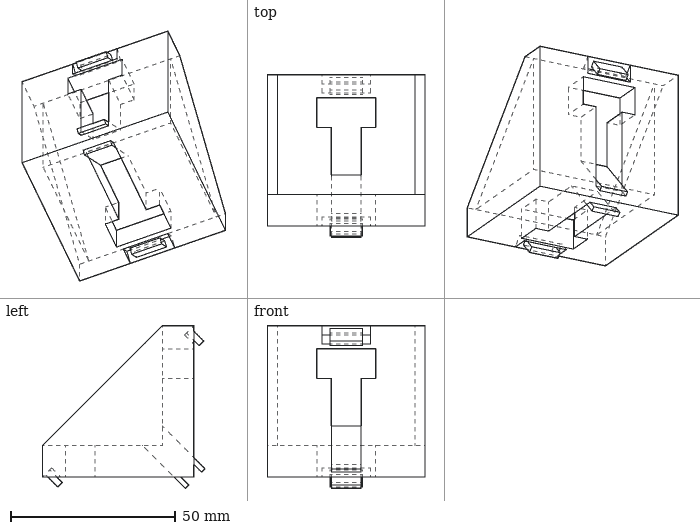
import cadquery as cq
import math

width = 48.0
side = 46.1
plate = 9.6
gusset = 3.0
tongue_reach = 3.4

stem_width = 9.0
head_width = 17.9
head_start = 30.05
head_end = 39.05
ramp_start = 6.0
ramp_thickness = 1.5

notch_width = 14.6
notch_depth = 2.8
clip_width = 9.85
clip_start = 44.45
clip_reach = 3.0
clip_thickness = 2.0


def prism(points, length):
    """Extrude a Y-Z outline symmetrically about the X centre."""
    return cq.Workplane("YZ").polyline(points).close().extrude(length / 2, both=True)


def tongue(start, reach, inner_depth, thickness, length):
    """Slanted 45 degree tongue; depth is along Y and start is its height at Y = 0."""
    step = thickness / math.sqrt(2)
    return prism(
        [
            (inner_depth, start + inner_depth),
            (-reach, start - reach),
            (-reach + step, start - reach - step),
            (inner_depth + step, start + inner_depth - step),
        ],
        length,
    )


def opening():
    """T-shaped opening of the upright plate, its stem ending on a 45 degree ramp."""
    stem = prism(
        [
            (0, ramp_start),
            (plate, ramp_start + plate),
            (plate, head_end),
            (0, head_end),
        ],
        stem_width,
    )
    head = prism([(0, head_start), (plate, head_start), (plate, head_end), (0, head_end)], head_width)
    return stem.union(head)


def notch():
    """V-shaped notch running from the free end of the upright plate."""
    return prism([(0, side), (notch_depth, side - notch_depth), (0, side - 2 * notch_depth)], notch_width)


def on_both_plates(feature):
    """Add the copy for the flat plate, mirrored about the plane Y = Z."""
    flat_copy = feature.rotate((0, 0, 0), (1, 0, 0), 90).mirror("XZ")
    return feature.union(flat_copy)


body = prism([(0, 0), (side, 0), (side, plate), (plate, side), (0, side)], width)
pocket = prism([(plate, plate), (side, plate), (side, side), (plate, side)], width - 2 * gusset)

clip_root = (side - clip_start) / 2
ramp_tongue = tongue(ramp_start, tongue_reach, 0, ramp_thickness, stem_width)
clip = tongue(clip_start, clip_reach, clip_root, clip_thickness, clip_width)

result = body.cut(pocket)
result = result.cut(on_both_plates(opening().union(notch())))
result = result.union(on_both_plates(ramp_tongue)).union(on_both_plates(clip))